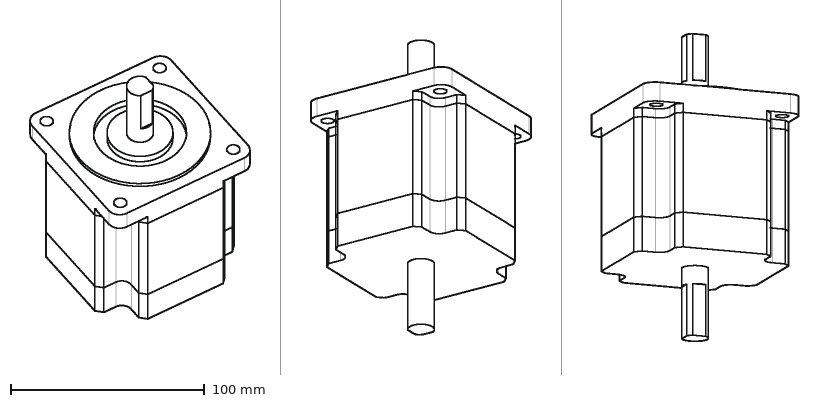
import cadquery as cq

shaft_length = 160.0
motor_bottom = 37.0
rear_cap_height = 18.4
stator_height = 53.0
front_cap_body_height = 4.8
flange_thickness = 10.0
pilot_height = 2.0

stator_bottom = motor_bottom + rear_cap_height
front_cap_bottom = stator_bottom + stator_height
flange_bottom = front_cap_bottom + front_cap_body_height
flange_top = flange_bottom + flange_thickness
pilot_top = flange_top + pilot_height

motor_width = 85.8
half_width = motor_width / 2
flange_corner_radius = 6.7

notch_depth = 16.3
notch_chamfer = 3.4
notch_fillet = 5.8

hole_spacing = 69.6
hole_diameter = 6.7

pilot_diameter = 73.0
recess_diameter = 48.0
boss_diameter = 34.0
recess_depth = 4.0

shaft_diameter = 14.0
flat_cut_depth = 1.0
upper_flat_length = 24.6
lower_flat_length = 27.4


def notched_block(bottom, height):
    """Square block with a round-bottomed, chamfered notch along each vertical edge."""
    notch_wall = half_width - notch_depth
    block = cq.Workplane("XY", origin=(0, 0, bottom)).rect(motor_width, motor_width).extrude(height)
    notch = (
        cq.Workplane("XY", origin=(0, 0, bottom))
        .moveTo(half_width, half_width)
        .lineTo(notch_wall - notch_chamfer, half_width)
        .lineTo(notch_wall, half_width - notch_chamfer)
        .lineTo(notch_wall, notch_wall + notch_fillet)
        .radiusArc((notch_wall + notch_fillet, notch_wall), -notch_fillet)
        .lineTo(half_width - notch_chamfer, notch_wall)
        .lineTo(half_width, notch_wall - notch_chamfer)
        .close()
        .extrude(height)
    )
    for quarter_turn in range(4):
        block = block.cut(notch.rotate((0, 0, 0), (0, 0, 1), 90 * quarter_turn))
    return block


def cylinder(diameter, bottom, height):
    """Cylinder on the motor axis."""
    return cq.Workplane("XY", origin=(0, 0, bottom)).circle(diameter / 2).extrude(height)


def shaft_bore():
    """Space the shaft takes up inside the motor."""
    return cylinder(shaft_diameter, motor_bottom, pilot_top - motor_bottom)


def make_front_cap():
    """Mounting flange with its pilot, central boss and notched lower body."""
    flange = (
        cq.Workplane("XY", origin=(0, 0, flange_bottom))
        .rect(motor_width, motor_width)
        .extrude(flange_thickness)
        .edges("|Z")
        .fillet(flange_corner_radius)
    )
    mounting_holes = (
        cq.Workplane("XY", origin=(0, 0, flange_bottom))
        .rect(hole_spacing, hole_spacing, forConstruction=True)
        .vertices()
        .circle(hole_diameter / 2)
        .extrude(flange_thickness)
    )
    recess_floor = pilot_top - recess_depth
    recess = (
        cq.Workplane("XY", origin=(0, 0, recess_floor))
        .circle(recess_diameter / 2)
        .circle(boss_diameter / 2)
        .extrude(recess_depth)
    )
    return (
        notched_block(front_cap_bottom, front_cap_body_height)
        .union(flange.cut(mounting_holes))
        .union(cylinder(pilot_diameter, flange_top, pilot_height))
        .cut(recess)
        .cut(shaft_bore())
    )


def make_stator():
    """Notched middle section of the motor body."""
    return notched_block(stator_bottom, stator_height).cut(shaft_bore())


def make_rear_cap():
    """Notched end section at the bottom of the motor body."""
    return notched_block(motor_bottom, rear_cap_height).cut(shaft_bore())


def make_shaft():
    """Through shaft with a +X and a +Y flat on both ends."""
    shaft = cylinder(shaft_diameter, 0, shaft_length)
    flat_offset = shaft_diameter / 2 - flat_cut_depth
    upper_flat_bottom = shaft_length - upper_flat_length
    for bottom, length in ((0, lower_flat_length), (upper_flat_bottom, upper_flat_length)):
        x_flat_cutter = (
            cq.Workplane("XY", origin=(flat_offset, 0, bottom))
            .box(flat_cut_depth, shaft_diameter, length, centered=(False, True, False))
        )
        y_flat_cutter = x_flat_cutter.rotate((0, 0, 0), (0, 0, 1), 90)
        shaft = shaft.cut(x_flat_cutter).cut(y_flat_cutter)
    return shaft


front_cap = make_front_cap()
stator = make_stator()
rear_cap = make_rear_cap()
shaft = make_shaft()

result = cq.Compound.makeCompound([front_cap.val(), stator.val(), rear_cap.val(), shaft.val()])